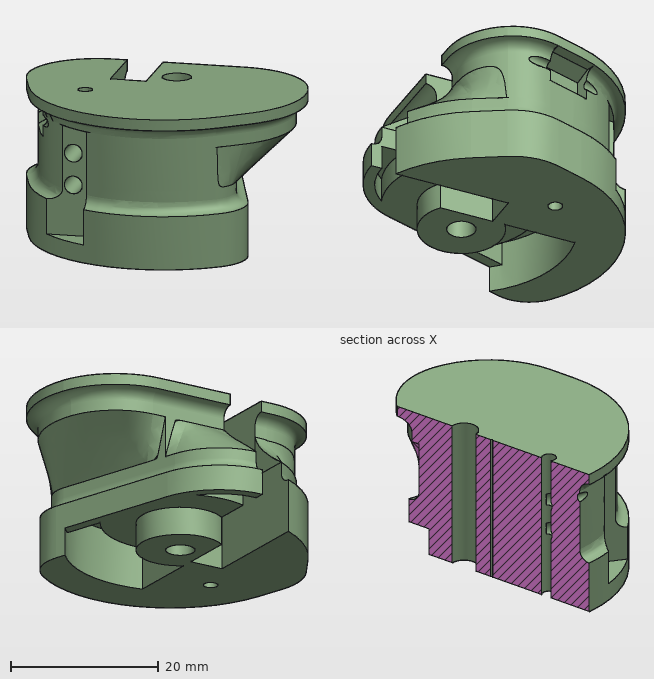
import cadquery as cq
import math

TOTAL_HEIGHT = 21.15
STEP = 1.58
BASE_FLANGE_TOP = 7.5
FILLET_RADIUS = 1.56
BASE_TOP = 10.65
PLATE_BOTTOM = TOTAL_HEIGHT - STEP
LAND_BOTTOM = PLATE_BOTTOM - 2 * STEP

CORNER = (-4.77, -10.2, 9.2)
BIG = (2.5, -3.05, 18.45)
RIGHT_SIDE = BIG[0] + BIG[2]
BASE_SHOULDER_RADIUS = 6.4
BASE_SHOULDER = (RIGHT_SIDE - BASE_SHOULDER_RADIUS, BIG[1], BASE_SHOULDER_RADIUS)
BASE_FLANK = (2.3, -1.9, 18.9)
BASE_LOBE_RADIUS = 10.7
BASE_LOBE_ANGLE = 165.6
PLATE_RIGHT_RADIUS = 13.9
PLATE_RIGHT = (RIGHT_SIDE - PLATE_RIGHT_RADIUS, 1.1, PLATE_RIGHT_RADIUS)
PLATE_TOP_RADIUS = 11.1
PLATE_TOP_ANGLE = 70.5
PLATE_FLANK_RADIUS = 9.8

BASE_LINE_MARK = 0.75
PLATE_LINE_MARKS = (0.3, 0.5)
WEDGE_GAP = 0.005

SLOT_ANGLE = -38.0
SLOT_WIDTH = 5.0
SLOT_CENTRE_OFFSET = -6.1
SLOT_END = 3.0
SLOT_LENGTH = 26.3

AXLE_DIAMETER = 4.0
POST_DIAMETER = 2.0
POST_X = 0.65
POST_Y = -14.0

NOTCH_CORNER_X = 8.05
NOTCH_CORNER_Y = -16.55
NOTCH_SIZE = 11.28
NOTCH_FLOOR = 2.55
NOTCH_TOP = PLATE_BOTTOM - STEP
SCREW_DIAMETER = 2.48
SCREW_SETBACK = 2.45
SCREW_DEPTH = 7.5
SCREW_HEIGHTS = (9.7, 14.17)

POCKET_LENGTH = 6.85
POCKET_DEPTH = 2.0
POCKET_HEIGHT = 17.1
POCKET_FLOOR_HALF = 1.2
POCKET_MOUTH_HALF = 2.4
CROSS_HOLE_DIAMETER = 1.5
CROSS_HOLE_LENGTH = 22.55

RELIEF_RADIUS = 15.8
RELIEF_CEILING = 3.95
BOSS_RADIUS = 6.0
HUB_RADIUS = 10.9

SAME_POINT = 0.0005


def polar(radius, degrees):
    angle = math.radians(degrees)
    return radius * math.cos(angle), radius * math.sin(angle)


def tangent_angle(first, second):
    """Direction from the centres to the line that touches both circles, going anticlockwise."""
    dx = second[0] - first[0]
    dy = second[1] - first[1]
    ratio = (first[2] - second[2]) / math.hypot(dx, dy)
    return math.degrees(math.atan2(dy, dx) - math.acos(max(-1.0, min(1.0, ratio))))


def inside_tangent(outer, radius, degrees):
    """Circle of the given radius that touches `outer` in the given direction."""
    dx, dy = polar(outer[2] - radius, degrees)
    return outer[0] + dx, outer[1] + dy, radius


BASE_LOBE = inside_tangent(BASE_FLANK, BASE_LOBE_RADIUS, BASE_LOBE_ANGLE)
BASE_FLANK_ANGLE = tangent_angle(BASE_FLANK, CORNER)
FRONT_LINE_ANGLE = tangent_angle(CORNER, BIG)
PLATE_TOP_ARC = inside_tangent(PLATE_RIGHT, PLATE_TOP_RADIUS, PLATE_TOP_ANGLE)
PLATE_FLANK = inside_tangent(CORNER, PLATE_FLANK_RADIUS, BASE_FLANK_ANGLE)
PLATE_LINE_ANGLE = tangent_angle(PLATE_TOP_ARC, PLATE_FLANK)
BASE_LINE_ANGLE = tangent_angle(BASE_SHOULDER, BASE_LOBE)


def outline(stretches, inset):
    """Closed wire of anticlockwise arcs (circle, start angle, end angle) joined by straight lines.

    A stretch without sweep only marks a point."""
    arcs = []
    for (x, y, radius), start, end in stretches:
        sweep = (end - start) % 360
        arc = []
        for angle in (start, start + sweep / 2, start + sweep):
            dx, dy = polar(radius - inset, angle)
            arc.append(cq.Vector(x + dx, y + dy))
        arcs.append((arc, sweep))
    edges = []
    for index, (arc, sweep) in enumerate(arcs):
        if sweep > 0:
            edges.append(cq.Edge.makeThreePointArc(*arc))
        end_point = arc[-1]
        next_arc, _ = arcs[(index + 1) % len(arcs)]
        if (next_arc[0] - end_point).Length > SAME_POINT:
            edges.append(cq.Edge.makeLine(end_point, next_arc[0]))
    return cq.Wire.assembleEdges(edges)


def mark(first, second, share, angle):
    """Stretch without sweep: a point part of the way along the line between two circles."""
    between = tuple(a + (b - a) * share for a, b in zip(first, second))
    return between, angle, angle


SHARED_STRETCHES = [
    (CORNER, BASE_FLANK_ANGLE, FRONT_LINE_ANGLE),
    (BIG, FRONT_LINE_ANGLE, 0),
]
BASE_STRETCHES = [
    (BASE_SHOULDER, 0, BASE_LINE_ANGLE / 2),
    (BASE_SHOULDER, BASE_LINE_ANGLE / 2, BASE_LINE_ANGLE),
    mark(BASE_SHOULDER, BASE_LOBE, BASE_LINE_MARK, BASE_LINE_ANGLE),
    (BASE_LOBE, BASE_LINE_ANGLE, BASE_LOBE_ANGLE),
    (BASE_FLANK, BASE_LOBE_ANGLE, BASE_FLANK_ANGLE),
    mark(CORNER, CORNER, 0, BASE_FLANK_ANGLE),
]
PLATE_STRETCHES = [
    mark(BIG, BIG, 0, 0),
    (PLATE_RIGHT, 0, PLATE_TOP_ANGLE),
    (PLATE_TOP_ARC, PLATE_TOP_ANGLE, PLATE_LINE_ANGLE),
    *[mark(PLATE_TOP_ARC, PLATE_FLANK, share, PLATE_LINE_ANGLE) for share in PLATE_LINE_MARKS],
    (PLATE_FLANK, PLATE_LINE_ANGLE, BASE_FLANK_ANGLE),
]
BASE_OUTLINE = SHARED_STRETCHES + BASE_STRETCHES
PLATE_OUTLINE = SHARED_STRETCHES + PLATE_STRETCHES


def prism(stretches, inset, bottom, top):
    wire = outline(stretches, inset).translate(cq.Vector(0, 0, bottom))
    return cq.Solid.extrudeLinear(wire, [], cq.Vector(0, 0, top - bottom))


def stepped_cam(stretches, flange_span, land_span):
    """Flange and smaller land as one solid, with a hollow fillet where the land meets the flange."""
    flange = cq.Workplane(prism(stretches, 0, *flange_span))
    body = flange.union(cq.Workplane(prism(stretches, STEP, *land_span)))
    flange_is_below = flange_span[0] < land_span[0]
    shelf = body.faces("|Z").faces(">Z[1]" if flange_is_below else "<Z[1]")
    foot = shelf.val().innerWires()[0].Edges()
    return cq.Workplane(body.val().fillet(FILLET_RADIUS, foot))


def turned_frame(origin=(0, 0, 0)):
    """Plane whose X axis runs along the slot, towards its closed end."""
    x_direction = cq.Vector(*polar(1, SLOT_ANGLE), 0)
    return cq.Plane(origin=origin, xDir=x_direction, normal=(0, 0, 1))


def slot():
    return (
        cq.Workplane(turned_frame())
        .center(SLOT_END - SLOT_LENGTH / 2, SLOT_CENTRE_OFFSET)
        .rect(SLOT_LENGTH, SLOT_WIDTH)
        .extrude(TOTAL_HEIGHT)
    )


def vertical_holes():
    axle = cq.Workplane().circle(AXLE_DIAMETER / 2).extrude(TOTAL_HEIGHT)
    post = cq.Workplane().center(POST_X, POST_Y).circle(POST_DIAMETER / 2).extrude(TOTAL_HEIGHT)
    return axle.add(post).combine()


def notch():
    corner = (NOTCH_CORNER_X, NOTCH_CORNER_Y, NOTCH_FLOOR)
    return (
        cq.Workplane(turned_frame(corner))
        .rect(NOTCH_SIZE, -NOTCH_SIZE, centered=False)
        .extrude(NOTCH_TOP - NOTCH_FLOOR)
    )


def screw_holes():
    along_x, along_y = polar(SCREW_SETBACK, SLOT_ANGLE - 90)
    inward = cq.Vector(*polar(-1, SLOT_ANGLE), 0)
    holes = cq.Workplane()
    for height in SCREW_HEIGHTS:
        start = cq.Vector(NOTCH_CORNER_X + along_x, NOTCH_CORNER_Y + along_y, height)
        holes = holes.add(cq.Solid.makeCylinder(SCREW_DIAMETER / 2, SCREW_DEPTH, start, inward))
    return holes.combine()


def pocket():
    """Flared pocket and its cross hole; the profile is drawn with X outward from the land's face."""
    start_x, start_y = polar(CORNER[2] - STEP, FRONT_LINE_ANGLE)
    outward = cq.Vector(*polar(1, FRONT_LINE_ANGLE), 0)
    along = cq.Vector(*polar(1, FRONT_LINE_ANGLE + 90), 0)
    start = cq.Vector(CORNER[0] + start_x, CORNER[1] + start_y, POCKET_HEIGHT)
    ceiling = PLATE_BOTTOM - POCKET_HEIGHT
    flared = (
        cq.Workplane(cq.Plane(origin=start, xDir=outward, normal=-along))
        .polyline([
            (-POCKET_DEPTH, -POCKET_FLOOR_HALF),
            (0, -POCKET_MOUTH_HALF),
            (STEP, -POCKET_MOUTH_HALF),
            (STEP, ceiling),
            (0, POCKET_MOUTH_HALF),
            (-POCKET_DEPTH, POCKET_FLOOR_HALF),
        ])
        .close()
        .extrude(-POCKET_LENGTH)
    )
    hole_start = start + along * ((POCKET_LENGTH - CROSS_HOLE_LENGTH) / 2)
    cross_hole = cq.Solid.makeCylinder(CROSS_HOLE_DIAMETER / 2, CROSS_HOLE_LENGTH, hole_start, along)
    return flared.union(cq.Workplane(cross_hole))


def relief():
    """Clearance round a boss, with a deeper groove between the hub and the flange rim."""
    clearance = (
        cq.Workplane()
        .circle(RELIEF_RADIUS)
        .circle(BOSS_RADIUS)
        .extrude(RELIEF_CEILING)
    )
    groove = (
        cq.Workplane()
        .circle(RELIEF_RADIUS)
        .circle(HUB_RADIUS)
        .extrude(BASE_FLANGE_TOP)
        .intersect(cq.Workplane(prism(BASE_OUTLINE, STEP, 0, BASE_FLANGE_TOP)))
    )
    far_side = (
        cq.Workplane(turned_frame())
        .center(0, SLOT_CENTRE_OFFSET + SLOT_WIDTH / 2 + RELIEF_RADIUS)
        .rect(4 * RELIEF_RADIUS, 2 * RELIEF_RADIUS)
        .extrude(BASE_FLANGE_TOP)
    )
    return clearance.union(groove).intersect(far_side)


def transition():
    """Ruled body between the two lands where they differ, closed straight across the shared side."""
    lower = outline(BASE_STRETCHES, STEP).translate(cq.Vector(0, 0, BASE_TOP))
    upper = outline(PLATE_STRETCHES, STEP).translate(cq.Vector(0, 0, LAND_BOTTOM))
    return cq.Workplane(cq.Solid.makeLoft([lower, upper], True))


def land_column(stretches, gap=0.0):
    """A land carried through the height between base and plate, larger all round by the gap."""
    return cq.Workplane(prism(stretches, STEP - gap, BASE_TOP, LAND_BOTTOM))


def make_cam():
    """Base and plate, joined by the column that lies inside both lands.

    Coplanar faces are left unmerged, so the top of the lower land stays as a joint line."""
    base = stepped_cam(BASE_OUTLINE, (0, BASE_FLANGE_TOP), (BASE_FLANGE_TOP, BASE_TOP))
    plate = stepped_cam(PLATE_OUTLINE, (PLATE_BOTTOM, TOTAL_HEIGHT), (BASE_TOP, PLATE_BOTTOM))
    overhang = land_column(PLATE_OUTLINE).cut(land_column(BASE_OUTLINE))
    return (
        plate.cut(overhang)
        .union(base.cut(relief()), clean=False)
        .cut(slot(), clean=False)
        .cut(vertical_holes(), clean=False)
        .cut(notch(), clean=False)
        .cut(screw_holes(), clean=False)
        .cut(pocket(), clean=False)
    )


def make_wedges():
    """Sloped fillers round the column: a ramp on each side of the slot and one under the overhang."""
    column = land_column(BASE_OUTLINE, WEDGE_GAP).intersect(land_column(PLATE_OUTLINE, WEDGE_GAP))
    return transition().cut(column).cut(slot()).solids()


cam = make_cam()
wedges = make_wedges()

result = cq.Compound.makeCompound([cam.val(), *wedges.vals()])